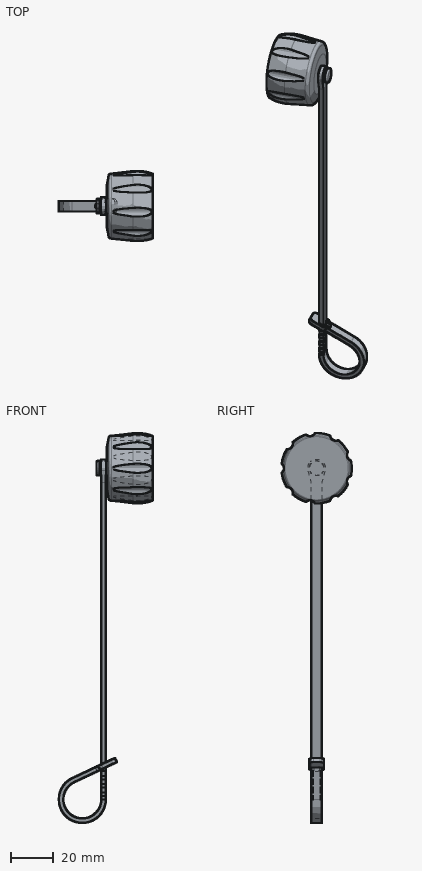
import cadquery as cq
import math

part_length_x = 43.78
part_height_z = 181.49

cap_length = 21.5
cap_peak_radius = 16.43
cap_flat_radius = 9.5
cap_shoulder_radius = 27.3 / 2
cap_shoulder_x = 0.8
cap_blend_mid_x = 1.25
cap_blend_mid_radius = 14.75
cap_cone_start_x = 2.4
cap_cone_start_radius = 15.2
cap_cone_end_x = 12.2
cap_cone_end_radius = 16.315
cap_end_radius = 15.05
cap_end_fillet = 0.5

flute_count = 9
flute_radius = 2.7
flute_floor_radius = 15.24

rivet_head_radius = 7 / 2
rivet_neck_radius = 3.3
rivet_top_x = -4.75
rivet_head_base_x = -3.4
rivet_head_fillet = 0.9
rivet_depth_in_cap = 2.0

strap_width = 5.0
strap_thickness = 2.2
strap_gap = 0.3
eyelet_radius = 4.15
neck_end_z = -6.6
part_left_x = cap_length - part_length_x
part_bottom_z = cap_peak_radius - part_height_z
tail_angle = math.radians(25.3)
tail_length = 22.0

strap_right_x = -strap_gap
strap_left_x = strap_right_x - strap_thickness
loop_outer_radius = (strap_right_x - part_left_x) / 2
loop_inner_radius = loop_outer_radius - strap_thickness
loop_x = part_left_x + loop_outer_radius
loop_z = part_bottom_z + loop_outer_radius

pad_width = 7.0
pad_length = 9.0
pad_corner_radius = 2.0
slot_width = 2.6
slot_length = 4.5

notch_count = 4
notch_pitch = 3.85
notch_height = 2.2
notch_depth = 0.75
first_notch_z = -142.0


def make_cap():
    body = (
        cq.Workplane("XY")
        .moveTo(0, 0)
        .lineTo(0, cap_flat_radius)
        .lineTo(cap_shoulder_x, cap_shoulder_radius)
        .threePointArc(
            (cap_blend_mid_x, cap_blend_mid_radius),
            (cap_cone_start_x, cap_cone_start_radius),
        )
        .lineTo(cap_cone_end_x, cap_cone_end_radius)
        .tangentArcPoint((cap_length, cap_end_radius), relative=False)
        .lineTo(cap_length, 0)
        .close()
        .revolve(360, (0, 0, 0), (1, 0, 0))
    )
    body = body.faces(">X").edges().fillet(cap_end_fillet)
    flute_axis_radius = flute_floor_radius + flute_radius
    cutter = cq.Workplane("YZ").center(-flute_axis_radius, 0).circle(flute_radius).extrude(cap_length)
    for index in range(flute_count):
        body = body.cut(cutter.rotate((0, 0, 0), (1, 0, 0), index * 360 / flute_count))
    return body


def make_rivet():
    head = (
        cq.Workplane("YZ", origin=(rivet_top_x, 0, 0))
        .circle(rivet_head_radius)
        .extrude(rivet_head_base_x - rivet_top_x)
        .faces("<X")
        .fillet(rivet_head_fillet)
    )
    shank = (
        cq.Workplane("YZ", origin=(rivet_head_base_x, 0, 0))
        .circle(rivet_neck_radius)
        .extrude(rivet_depth_in_cap - rivet_head_base_x)
    )
    return head.union(shank)


def make_straight_run():
    half_width = strap_width / 2
    neck_distance = math.hypot(half_width, neck_end_z)
    tangent_angle = math.atan2(neck_end_z, half_width) + math.acos(eyelet_radius / neck_distance)
    tangent_y = eyelet_radius * math.cos(tangent_angle)
    tangent_z = eyelet_radius * math.sin(tangent_angle)
    return (
        cq.Workplane("YZ", origin=(strap_left_x, 0, 0))
        .moveTo(tangent_y, tangent_z)
        .threePointArc((0, eyelet_radius), (-tangent_y, tangent_z))
        .lineTo(-half_width, neck_end_z)
        .lineTo(-half_width, loop_z)
        .lineTo(half_width, loop_z)
        .lineTo(half_width, neck_end_z)
        .close()
        .extrude(strap_thickness)
    )


def loop_point(radius, angle):
    return (loop_x + radius * math.cos(angle), loop_z + radius * math.sin(angle))


def make_loop():
    tail_start = math.pi / 2 + tail_angle
    lowest = -math.pi / 2
    return (
        cq.Workplane("XZ", origin=(0, strap_width / 2, 0))
        .moveTo(*loop_point(loop_outer_radius, 0))
        .threePointArc(loop_point(loop_outer_radius, lowest), loop_point(loop_outer_radius, tail_start))
        .lineTo(*loop_point(loop_inner_radius, tail_start))
        .threePointArc(loop_point(loop_inner_radius, lowest), loop_point(loop_inner_radius, 0))
        .close()
        .extrude(strap_width)
    )


def make_tail():
    start_x, start_z = loop_point(loop_inner_radius, math.pi / 2 + tail_angle)
    plane = cq.Plane(
        origin=(start_x, 0, start_z),
        xDir=(math.cos(tail_angle), 0, math.sin(tail_angle)),
        normal=(-math.sin(tail_angle), 0, math.cos(tail_angle)),
    )
    band_length = tail_length - pad_length / 2
    band = (
        cq.Workplane(plane)
        .center(band_length / 2, 0)
        .rect(band_length, strap_width)
        .extrude(strap_thickness)
    )
    pad = (
        cq.Workplane(plane)
        .center(tail_length - pad_length / 2, 0)
        .rect(pad_length, pad_width)
        .extrude(strap_thickness)
        .edges(cq.selectors.ParallelDirSelector(plane.zDir))
        .fillet(pad_corner_radius)
    )
    slot_end = (strap_right_x - start_x) / math.cos(tail_angle)
    slot = (
        cq.Workplane(plane)
        .center(slot_end - slot_length / 2, 0)
        .slot2D(slot_length, slot_width)
        .extrude(strap_thickness)
    )
    return band.union(pad).cut(slot)


def make_notches():
    centers = []
    for index in range(notch_count):
        for side in (-1, 1):
            centers.append((side * strap_width / 2, first_notch_z - index * notch_pitch))
    return (
        cq.Workplane("YZ", origin=(strap_left_x, 0, 0))
        .pushPoints(centers)
        .rect(2 * notch_depth, notch_height)
        .extrude(strap_thickness)
    )


strap = make_straight_run().cut(make_notches()).union(make_loop()).union(make_tail())
result = make_cap().union(make_rivet()).union(strap)